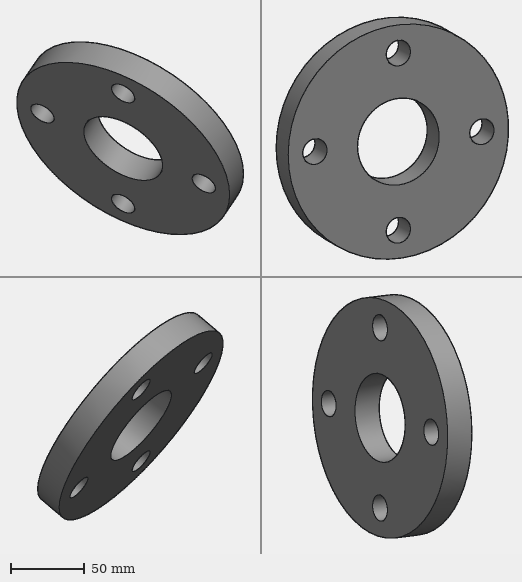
import cadquery as cq

outer_diameter = 165.0
thickness = 20.0
bore_diameter = 61.0

bolt_hole_count = 4
bolt_hole_diameter = 18.0
bolt_circle_diameter = 125.0


def make_ring():
    """Disc with its central through bore; the front face lies at Y = -thickness."""
    return (
        cq.Workplane("XZ")
        .circle(outer_diameter / 2)
        .circle(bore_diameter / 2)
        .extrude(thickness)
    )


def make_bolt_holes():
    """Cylinders for the bolt holes, the first one on the X axis."""
    return (
        cq.Workplane("XZ")
        .polarArray(bolt_circle_diameter / 2, 0, 360, bolt_hole_count)
        .circle(bolt_hole_diameter / 2)
        .extrude(thickness)
    )


result = make_ring().cut(make_bolt_holes())